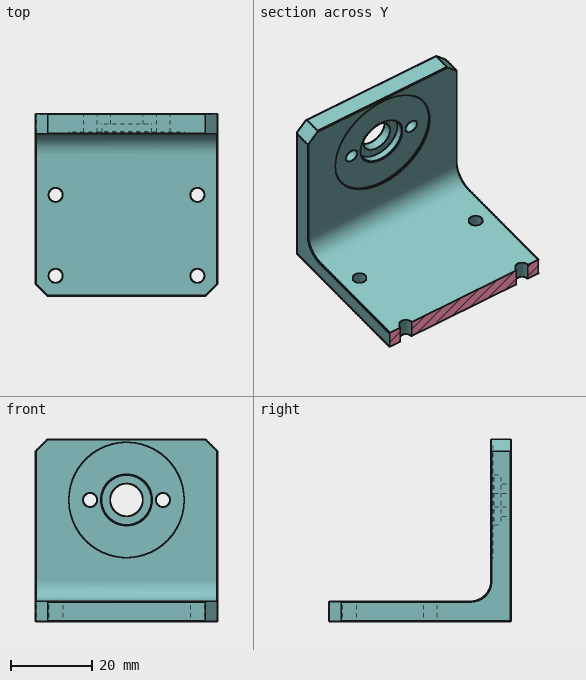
import cadquery as cq

side = 45.0
thickness = 5.0
inner_radius = 5.0
corner_cut = 3.0
edge_chamfer = 0.2
selection_margin = 0.45

bore_height = 30.0
recess_diameter = 28.5
recess_depth = 0.5
counterbore_diameter = 12.35
counterbore_depth = 2.0
bore_diameter = 8.0

screw_diameter = 3.4
wall_screw_spacing = 18.0
base_screw_spacing_x = 35.0
base_screw_spacing_y = 20.0
base_screw_edge = 5.0

front_y = -side / 2
back_y = side / 2
wall_y = back_y - thickness
recess_floor_y = wall_y + recess_depth


def make_angle():
    """L-shaped body with a filleted inner corner and broken edges."""
    profile = [
        (front_y, 0),
        (back_y, 0),
        (back_y, side),
        (wall_y, side),
        (wall_y, thickness),
        (front_y, thickness),
    ]
    body = cq.Workplane("YZ").polyline(profile).close().extrude(side / 2, both=True)
    inner_corner = cq.selectors.NearestToPointSelector((0, wall_y, thickness))
    body = body.edges(inner_corner).fillet(inner_radius)
    long_edges = cq.selectors.StringSyntaxSelector("|X")
    tangent_lines = cq.selectors.BoxSelector(
        (-side, wall_y - inner_radius - selection_margin, thickness - selection_margin),
        (side, wall_y + selection_margin, thickness + inner_radius + selection_margin),
    )
    sharp_edges = cq.selectors.SubtractSelector(long_edges, tangent_lines)
    end_outlines = body.faces("<X or >X").edges()
    return body.edges(sharp_edges).add(end_outlines).chamfer(edge_chamfer)


def corner_prisms(plane, tip):
    """Triangular cutters for both free corners of a plate whose end is at `tip`."""
    inward = corner_cut if tip < 0 else -corner_cut
    cutters = cq.Workplane(plane)
    for sign in (-1, 1):
        edge_x = sign * side / 2
        triangle = [(edge_x, tip), (edge_x - sign * corner_cut, tip), (edge_x, tip + inward)]
        cutters = cutters.polyline(triangle).close()
    return cutters.extrude(side, both=True)


def wall_cylinder(x, diameter, start_y, depth):
    """Cylinder along +Y at the height of the bore axis."""
    return cq.Workplane(
        cq.Solid.makeCylinder(
            diameter / 2, depth, cq.Vector(x, start_y, bore_height), cq.Vector(0, 1, 0)
        )
    )


def mouth_cone():
    """Chamfer at the mouth of the counterbore."""
    radius = counterbore_diameter / 2
    return cq.Workplane(
        cq.Solid.makeCone(
            radius + edge_chamfer,
            radius,
            edge_chamfer,
            cq.Vector(0, recess_floor_y, bore_height),
            cq.Vector(0, 1, 0),
        )
    )


result = make_angle()
result = result.cut(corner_prisms("XZ", side))
result = result.cut(corner_prisms("XY", front_y))

result = result.cut(wall_cylinder(0, recess_diameter, wall_y, recess_depth))
result = result.cut(mouth_cone())
result = result.cut(wall_cylinder(0, counterbore_diameter, recess_floor_y, counterbore_depth))
result = result.cut(wall_cylinder(0, bore_diameter, wall_y, thickness))

for x in (-wall_screw_spacing / 2, wall_screw_spacing / 2):
    result = result.cut(wall_cylinder(x, screw_diameter, wall_y, thickness))

base_screws = (
    cq.Workplane("XY")
    .center(0, front_y + base_screw_edge + base_screw_spacing_y / 2)
    .rect(base_screw_spacing_x, base_screw_spacing_y, forConstruction=True)
    .vertices()
    .circle(screw_diameter / 2)
    .extrude(thickness)
)
result = result.cut(base_screws)